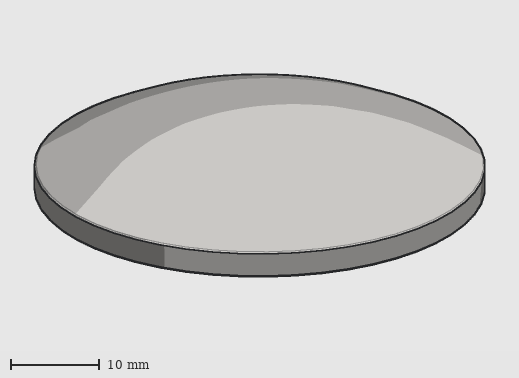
import cadquery as cq

diameter = 50.8
center_thickness = 9.7
edge_thickness = 3.1
bevel = 0.2

radius = diameter / 2
dome_rim_radius = radius - bevel
dome_height = center_thickness - edge_thickness
sphere_radius = (dome_rim_radius**2 + dome_height**2) / (2 * dome_height)

mid_radius = dome_rim_radius / 2
sphere_center_z = center_thickness - sphere_radius
mid_z = sphere_center_z + (sphere_radius**2 - mid_radius**2) ** 0.5

half_section = (
    cq.Workplane("XZ")
    .lineTo(radius - bevel, 0)
    .lineTo(radius, bevel)
    .lineTo(radius, edge_thickness - bevel)
    .lineTo(dome_rim_radius, edge_thickness)
    .threePointArc((mid_radius, mid_z), (0, center_thickness))
    .close()
)

result = half_section.revolve(360, (0, 0, 0), (0, 1, 0))